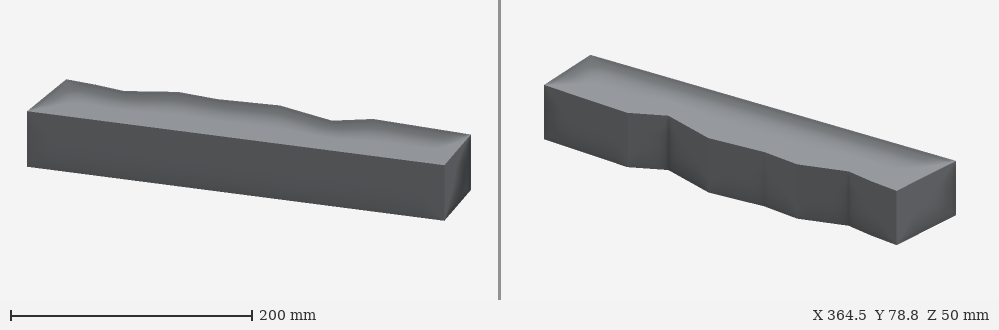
import cadquery as cq

length = 364.5
width = 78.8
height = 50.0

left_end_lean = 9.0
left_end_width = 75.0
right_end_width = 69.3

back_edge = [
    (left_end_lean, left_end_width),
    (37.2, 71.5),
    (62.7, 66.5),
    (105.7, width),
    (141.5, 74.5),
    (194.7, 78.0),
    (246.0, 61.0),
    (277.5, 75.0),
    (length, right_end_width),
]

outline = [(0, 0)] + back_edge + [(length, 0)]

result = cq.Workplane("XY").polyline(outline).close().extrude(height)